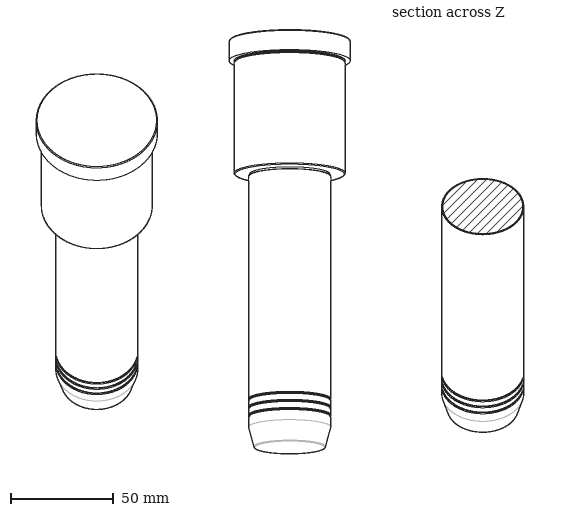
import cadquery as cq
import math

TOTAL_LENGTH = 201.0
HEAD_HEIGHT = 10.0
BODY_LENGTH = 56.0
TAPER_LENGTH = 10.0
HEAD_BOTTOM = TOTAL_LENGTH - HEAD_HEIGHT
BODY_BOTTOM = HEAD_BOTTOM - BODY_LENGTH

HEAD_RADIUS = 59.0 / 2
BODY_RADIUS = 54.0 / 2
PIN_RADIUS = 40.0 / 2

TAPER_ANGLE = 15.0
TIP_FILLET = 0.5
EDGE_CHAMFER = 0.5

GROOVE_WIDTH = 1.0
GROOVE_DEPTH = 0.5
SLOPED_FLOOR_WIDTH = 0.4

PIN_GROOVE_COUNT = 3
PIN_GROOVE_PITCH = 4.0
FIRST_PIN_GROOVE_CENTER = 15.5

CUTTER_OVERLAP = 0.2


def make_cylinder(radius, bottom, height):
    """Solid cylinder on the Z axis."""
    return cq.Workplane("XY").workplane(offset=bottom).circle(radius).extrude(height)


def make_groove_cutter(radius, center, floor_width):
    """Ring that cuts a groove, centred at height center, into a cylinder of the given radius."""
    floor_radius = radius - GROOVE_DEPTH
    outer_radius = radius + CUTTER_OVERLAP
    half_mouth = GROOVE_WIDTH / 2
    half_floor = floor_width / 2
    return (
        cq.Workplane("XZ")
        .moveTo(floor_radius, center - half_floor)
        .lineTo(radius, center - half_mouth)
        .lineTo(outer_radius, center - half_mouth)
        .lineTo(outer_radius, center + half_mouth)
        .lineTo(radius, center + half_mouth)
        .lineTo(floor_radius, center + half_floor)
        .close()
        .revolve(360, (0, 0, 0), (0, 1, 0))
    )


def make_pin():
    """Pin with a conical lead-in, a rounded tip, lubrication grooves and a shoulder relief."""
    tip_radius = PIN_RADIUS - TAPER_LENGTH * math.tan(math.radians(TAPER_ANGLE))
    pin = (
        cq.Workplane("XZ")
        .lineTo(tip_radius, 0)
        .lineTo(PIN_RADIUS, TAPER_LENGTH)
        .lineTo(PIN_RADIUS, BODY_BOTTOM)
        .lineTo(0, BODY_BOTTOM)
        .close()
        .revolve(360, (0, 0, 0), (0, 1, 0))
    )
    pin = pin.faces("<Z").edges().fillet(TIP_FILLET)

    for index in range(PIN_GROOVE_COUNT):
        center = FIRST_PIN_GROOVE_CENTER + index * PIN_GROOVE_PITCH
        pin = pin.cut(make_groove_cutter(PIN_RADIUS, center, SLOPED_FLOOR_WIDTH))

    relief_center = BODY_BOTTOM - GROOVE_WIDTH / 2
    return pin.cut(make_groove_cutter(PIN_RADIUS, relief_center, GROOVE_WIDTH))


def make_body():
    """Body with a chamfered lower edge and a sloped relief groove directly below the head."""
    body = make_cylinder(BODY_RADIUS, BODY_BOTTOM, BODY_LENGTH)
    body = body.faces("<Z").edges().chamfer(EDGE_CHAMFER)
    relief_center = HEAD_BOTTOM - GROOVE_WIDTH / 2
    return body.cut(make_groove_cutter(BODY_RADIUS, relief_center, SLOPED_FLOOR_WIDTH))


def make_head():
    """Flat cylindrical head with a chamfered top edge."""
    head = make_cylinder(HEAD_RADIUS, HEAD_BOTTOM, HEAD_HEIGHT)
    return head.faces(">Z").edges().chamfer(EDGE_CHAMFER)


result = make_pin().union(make_body()).union(make_head())